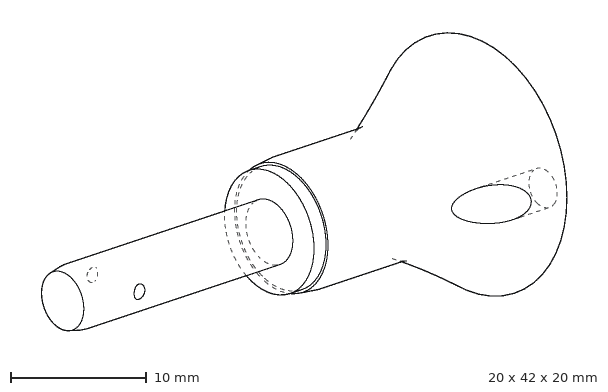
import cadquery as cq
import math

overall_length = 42.0
shoulder_y = overall_length / 2
nose_y = 1.4
ball_y = 5.4
taper_front_y = shoulder_y + 1.2
sleeve_front_y = 23.8
neck_front_y = 32.6
neck_back_y = 33.6

knob_radius = 10.0
neck_radius = 5.38
sleeve_radius = 5.15
taper_front_radius = 5.0
collar_radius = 4.8
shank_radius = 2.5
tip_radius = 2.25

rim_round = 0.4
rim_roll = 0.25
flare_bow = 0.1
neck_bow = 0.05
nose_bow = 0.05

ball_radius = 0.7
ball_projection = 0.25
lanyard_hole_radius = 1.5
lanyard_hole_x = 7.2


def turned_body():
    """Revolve the half profile of knob, sleeve and shank about the Y axis."""
    rim_back_y = overall_length - rim_round
    rim_front_y = rim_back_y - rim_roll
    rim_front_radius = knob_radius - rim_round + math.sqrt(rim_round**2 - rim_roll**2)
    flare_mid = (
        (neck_radius + rim_front_radius) / 2 - flare_bow,
        (neck_back_y + rim_front_y) / 2,
    )
    neck_mid = (
        (sleeve_radius + neck_radius) / 2 - neck_bow,
        (neck_front_y + neck_back_y) / 2,
    )
    nose_mid = ((tip_radius + shank_radius) / 2 + nose_bow, nose_y / 2)
    profile = (
        cq.Workplane("XY")
        .lineTo(tip_radius, 0)
        .threePointArc(nose_mid, (shank_radius, nose_y))
        .lineTo(shank_radius, shoulder_y)
        .lineTo(collar_radius, shoulder_y)
        .lineTo(collar_radius, taper_front_y)
        .lineTo(taper_front_radius, taper_front_y)
        .lineTo(sleeve_radius, sleeve_front_y)
        .lineTo(sleeve_radius, neck_front_y)
        .threePointArc(neck_mid, (neck_radius, neck_back_y))
        .threePointArc(flare_mid, (rim_front_radius, rim_front_y))
        .radiusArc((knob_radius, rim_back_y), -rim_round)
        .radiusArc((knob_radius - rim_round, overall_length), -rim_round)
        .lineTo(0, overall_length)
        .close()
    )
    return profile.revolve(360, (0, 0, 0), (0, 1, 0))


def locking_ball(side):
    """Ball protruding from the shank on the given side of X (+1 or -1)."""
    centre_x = shank_radius + ball_projection - ball_radius
    return cq.Workplane("XY").sphere(ball_radius).translate((side * centre_x, ball_y, 0))


def lanyard_hole():
    """Cutter for the hole through the knob flange, parallel to the pin axis."""
    return (
        cq.Workplane("XZ", origin=(lanyard_hole_x, overall_length, 0))
        .circle(lanyard_hole_radius)
        .extrude(overall_length - neck_front_y)
    )


result = turned_body().cut(lanyard_hole())
for ball_side in (-1, 1):
    result = result.union(locking_ball(ball_side))